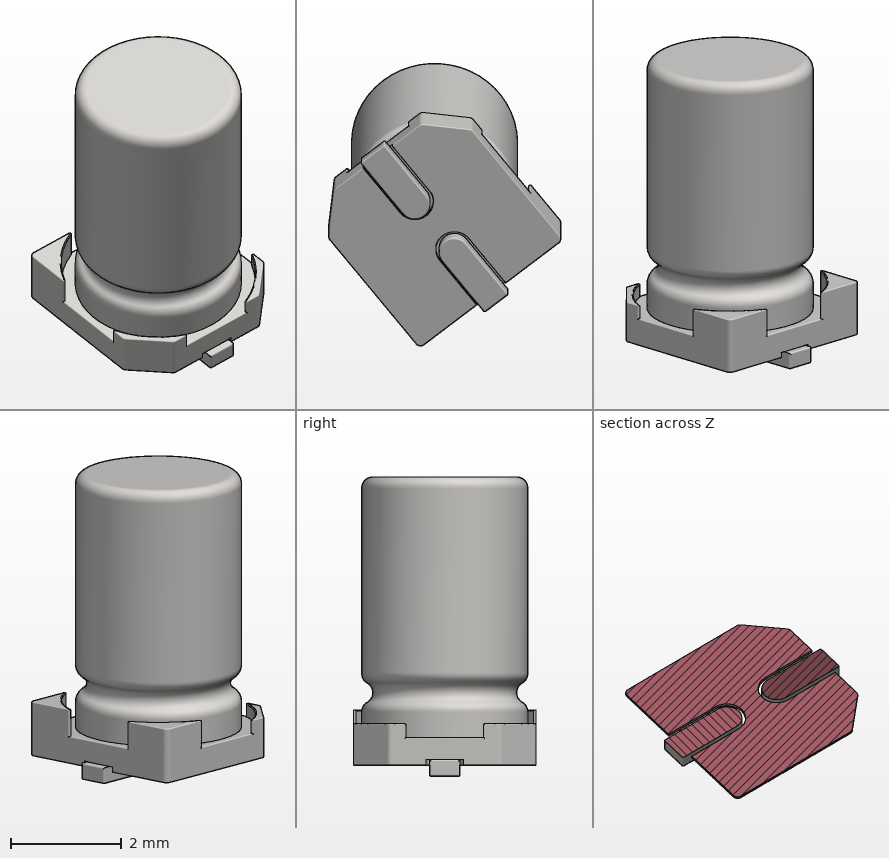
import cadquery as cq
import math

total_height = 5.4
total_length = 3.6

base_side = 3.3
base_bottom = 0.2
floor_height = 0.7
tall_post_height = 1.2
short_post_height = 0.95
corner_cut = 0.65
corner_radius = 0.1
base_edge_radius = 0.02
well_radius = 1.75
notch_width = 1.4

can_radius = 1.5
can_top_radius = 0.2
groove_radius = 0.2
groove_depth = 0.2
groove_height = 1.51

lead_width = 0.55
lead_top = 0.3
lead_gap = 0.6
lead_edge_radius = 0.03
recess_clearance = 0.06

half_side = base_side / 2
tolerance = 0.001


def stadium_tail(inner_end, outer_end, width, bottom, top):
    """Bar along +X with a round inner end and a square outer end."""
    radius = width / 2
    return (
        cq.Workplane("XY", origin=(0, 0, bottom))
        .moveTo(outer_end, -radius)
        .lineTo(inner_end + radius, -radius)
        .threePointArc((inner_end, 0), (inner_end + radius, radius))
        .lineTo(outer_end, radius)
        .close()
        .extrude(top - bottom)
    )


def is_sharp_base_edge(edge):
    """True for the outward corners that get the small edge rounding."""
    centre = edge.Center()
    box = edge.BoundingBox()
    reach = max(abs(centre.x), abs(centre.y))
    if box.zlen > tolerance:
        nearness = min(abs(centre.x), abs(centre.y))
        return reach > half_side - tolerance and nearness < notch_width / 2 + tolerance
    on_floor = abs(centre.z - floor_height) < tolerance
    return not on_floor or reach > half_side - tolerance


def make_base():
    block = (
        cq.Workplane("XY", origin=(0, 0, base_bottom))
        .rect(base_side, base_side)
        .extrude(tall_post_height - base_bottom)
    )
    block = block.edges("|Z and >X").chamfer(corner_cut)
    block = block.edges("|Z").fillet(corner_radius)

    well_depth = tall_post_height - floor_height
    well = cq.Workplane("XY", origin=(0, 0, floor_height)).circle(well_radius).extrude(well_depth)
    notch_x = (
        cq.Workplane("XY", origin=(0, 0, floor_height)).rect(base_side, notch_width).extrude(well_depth)
    )
    notch_y = (
        cq.Workplane("XY", origin=(0, 0, floor_height)).rect(notch_width, base_side).extrude(well_depth)
    )
    post_step = (
        cq.Workplane("XY", origin=(half_side / 2, 0, short_post_height))
        .rect(half_side, base_side)
        .extrude(tall_post_height - short_post_height)
    )
    base = block.cut(well.union(notch_x).union(notch_y).union(post_step))

    sharp_edges = [edge for edge in base.edges().vals() if is_sharp_base_edge(edge)]
    base = base.newObject(sharp_edges).fillet(base_edge_radius)

    recess = stadium_tail(
        lead_gap / 2 - recess_clearance,
        half_side,
        lead_width + 2 * recess_clearance,
        base_bottom,
        lead_top,
    )
    return base.cut(recess).cut(recess.mirror("YZ"))


def make_can():
    half_depth = groove_depth / 2
    blend_angle = math.acos(1 - half_depth / groove_radius)
    blend_rise = groove_radius * math.sin(blend_angle)
    half_angle = blend_angle / 2
    mid_radius = can_radius - groove_radius * (1 - math.cos(half_angle))
    mid_offset = 2 * blend_rise - groove_radius * math.sin(half_angle)
    top_arc_offset = can_top_radius * math.sqrt(0.5)
    return (
        cq.Workplane("XZ")
        .moveTo(0, floor_height)
        .lineTo(can_radius, floor_height)
        .lineTo(can_radius, groove_height - 2 * blend_rise)
        .threePointArc(
            (mid_radius, groove_height - mid_offset),
            (can_radius - half_depth, groove_height - blend_rise),
        )
        .threePointArc(
            (can_radius - groove_depth, groove_height),
            (can_radius - half_depth, groove_height + blend_rise),
        )
        .threePointArc(
            (mid_radius, groove_height + mid_offset),
            (can_radius, groove_height + 2 * blend_rise),
        )
        .lineTo(can_radius, total_height - can_top_radius)
        .threePointArc(
            (
                can_radius - can_top_radius + top_arc_offset,
                total_height - can_top_radius + top_arc_offset,
            ),
            (can_radius - can_top_radius, total_height),
        )
        .lineTo(0, total_height)
        .close()
        .revolve(360, (0, 0, 0), (0, 1, 0))
    )


def make_lead(angle):
    lead = stadium_tail(lead_gap / 2, total_length / 2, lead_width, 0, lead_top)
    lead = lead.faces("<Z or >X").edges().fillet(lead_edge_radius)
    return lead.rotate((0, 0, 0), (0, 0, 1), angle)


base = make_base()
can = make_can()
leads = [make_lead(angle) for angle in (0, 180)]

result = cq.Compound.makeCompound([base.val(), can.val(), *[lead.val() for lead in leads]])